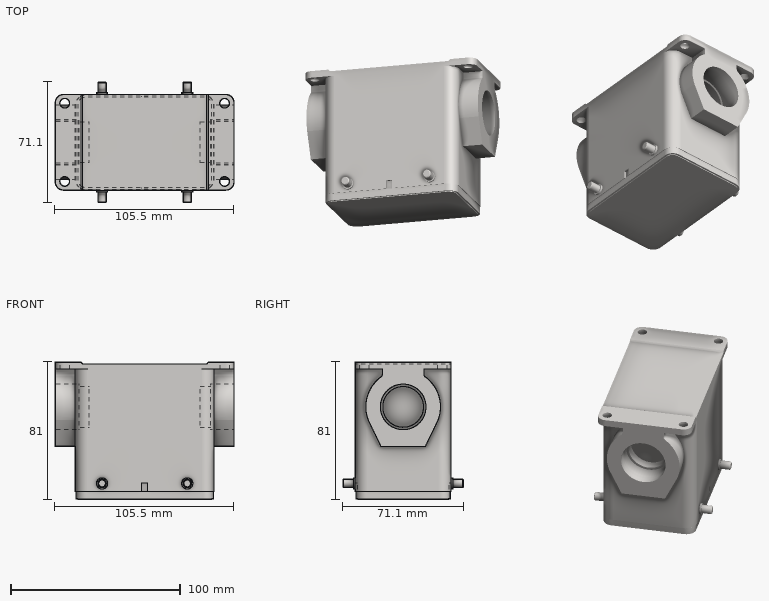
import math

import cadquery as cq

flange_length = 105.5
pin_span = 71.1
total_height = 81.0

flange_depth = 56.5
flange_thickness = 4.1
flange_corner_radius = 5.0
flange_underside = total_height - flange_thickness
screw_hole_diameter = 5.6
screw_hole_pitch_x = 94.2
screw_hole_pitch_y = 46.0

recess_depth = 1.1
recess_top_length = 75.0
recess_floor_length = 73.0

body_length = 82.0
body_corner_radius = 7.2
skirt_height = 4.7
skirt_inset = 0.4
skirt_corner_radius = 5.8
rim_height = 0.4
rim_inset = 1.2

entry_axis_height = 54.6
entry_radius = 22.0
flank_top_height = 46.6
entry_base_height = 31.4
entry_base_half_width = 13.1
neck_half_width = 12.2
neck_fillet_radius = 2.0

bore_diameter = 26.9
bore_depth = 14.0
inner_bore_diameter = 24.0
inner_bore_depth = 20.0

pin_diameter = 5.0
pin_chamfer = 0.5
pin_pitch = 50.2
pin_height = 9.5
collar_diameter = 6.6
collar_length = 1.1

notch_width = 3.6
notch_height = 5.0
notch_depth = 1.3


def rounded_block(length, depth, corner_radius, bottom, top):
    """Upright block centred on the Z axis, with rounded vertical edges."""
    block = cq.Workplane("XY").workplane(offset=bottom).rect(length, depth).extrude(top - bottom)
    return block.edges("|Z").fillet(corner_radius)


def make_flange():
    flange = rounded_block(
        flange_length, flange_depth, flange_corner_radius, flange_underside, total_height
    )
    recess = (
        cq.Workplane("XZ")
        .moveTo(-recess_top_length / 2, total_height)
        .lineTo(-recess_floor_length / 2, total_height - recess_depth)
        .lineTo(recess_floor_length / 2, total_height - recess_depth)
        .lineTo(recess_top_length / 2, total_height)
        .close()
        .extrude(flange_depth / 2, both=True)
    )
    return flange.cut(recess)


def make_housing():
    """Body standing on a slightly smaller skirt, which ends in a thin bottom rim."""
    body = rounded_block(body_length, flange_depth, body_corner_radius, skirt_height, flange_underside)
    skirt_length = body_length - 2 * skirt_inset
    skirt_depth = flange_depth - 2 * skirt_inset
    skirt = rounded_block(skirt_length, skirt_depth, skirt_corner_radius, rim_height, skirt_height)
    rim = rounded_block(
        skirt_length - 2 * rim_inset,
        skirt_depth - 2 * rim_inset,
        skirt_corner_radius - rim_inset,
        0,
        rim_height,
    )
    return body.union(skirt).union(rim)


def make_entry_bosses():
    """Both cable entry bosses as one bar along X, running through the housing."""
    flank_top_y = math.sqrt(entry_radius**2 - (entry_axis_height - flank_top_height) ** 2)

    fillet_y = neck_half_width + neck_fillet_radius
    fillet_distance = entry_radius + neck_fillet_radius
    fillet_angle = math.acos(fillet_y / fillet_distance)
    fillet_z = entry_axis_height + fillet_distance * math.sin(fillet_angle)
    blend_y = entry_radius * math.cos(fillet_angle)
    blend_z = entry_axis_height + entry_radius * math.sin(fillet_angle)
    middle_angle = math.pi + fillet_angle / 2
    middle_y = fillet_y + neck_fillet_radius * math.cos(middle_angle)
    middle_z = fillet_z + neck_fillet_radius * math.sin(middle_angle)

    return (
        cq.Workplane("YZ")
        .moveTo(-entry_base_half_width, entry_base_height)
        .lineTo(entry_base_half_width, entry_base_height)
        .lineTo(flank_top_y, flank_top_height)
        .threePointArc((entry_radius, entry_axis_height), (blend_y, blend_z))
        .threePointArc((middle_y, middle_z), (neck_half_width, fillet_z))
        .lineTo(neck_half_width, flange_underside)
        .lineTo(-neck_half_width, flange_underside)
        .lineTo(-neck_half_width, fillet_z)
        .threePointArc((-middle_y, middle_z), (-blend_y, blend_z))
        .threePointArc((-entry_radius, entry_axis_height), (-flank_top_y, flank_top_height))
        .close()
        .extrude(flange_length / 2, both=True)
    )


def make_entry_bore(side):
    """Stepped bore entering from the end face at X = side * flange_length / 2."""
    mouth = cq.Plane(
        origin=(side * flange_length / 2, 0, entry_axis_height),
        xDir=(0, 1, 0),
        normal=(-side, 0, 0),
    )
    outer = cq.Workplane(mouth).circle(bore_diameter / 2).extrude(bore_depth)
    inner = cq.Workplane(mouth).circle(inner_bore_diameter / 2).extrude(inner_bore_depth)
    return outer.union(inner)


def make_screw_holes():
    return (
        cq.Workplane("XY")
        .workplane(offset=flange_underside)
        .rect(screw_hole_pitch_x, screw_hole_pitch_y, forConstruction=True)
        .vertices()
        .circle(screw_hole_diameter / 2)
        .extrude(flange_thickness)
    )


def make_locking_pin(x, side):
    """Pin and collar pointing outward along Y, rooted on the mid-plane of the housing."""
    root = cq.Plane(origin=(x, 0, pin_height), xDir=(1, 0, 0), normal=(0, side, 0))
    pin = cq.Workplane(root).circle(pin_diameter / 2).extrude(pin_span / 2)
    pin = pin.faces(">Y" if side > 0 else "<Y").chamfer(pin_chamfer)
    collar = cq.Workplane(root).circle(collar_diameter / 2).extrude(flange_depth / 2 + collar_length)
    return pin.union(collar)


def make_notch(side):
    return (
        cq.Workplane("XY")
        .workplane(offset=skirt_height)
        .center(0, side * flange_depth / 2)
        .rect(notch_width, 2 * notch_depth)
        .extrude(notch_height)
    )


result = make_housing().union(make_flange()).union(make_entry_bosses())
result = result.cut(make_screw_holes())
for side in (-1, 1):
    result = result.cut(make_entry_bore(side))
    result = result.cut(make_notch(side))
    for pin_x in (-pin_pitch / 2, pin_pitch / 2):
        result = result.union(make_locking_pin(pin_x, side))